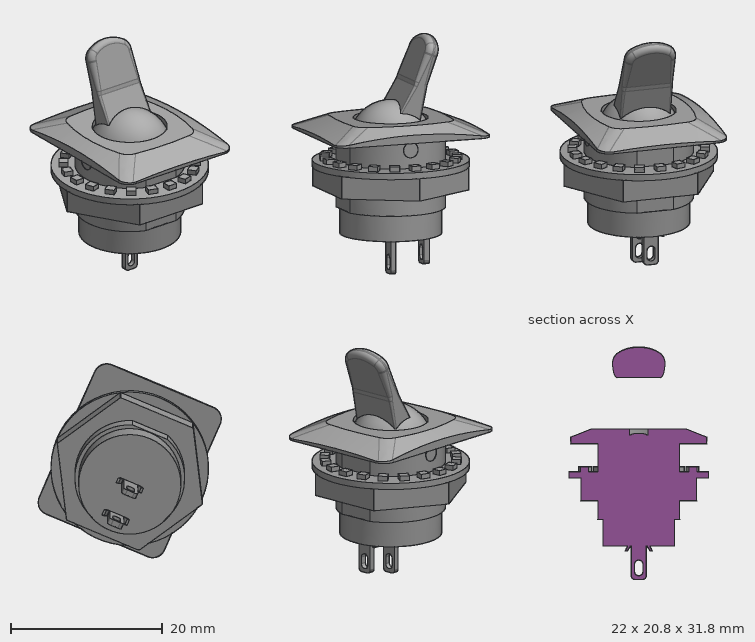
import cadquery as cq
import math

bezel_length = 22.0
bezel_width = 18.0
bezel_height = 2.0
bezel_slope = 22.0
bezel_top_half_length = 7.34
bezel_top_half_width = 6.85
bezel_corner_height = 0.12
bezel_corner_radius = 1.7
bezel_ridge_radius = 5.2
bezel_hole_diameter = 9.9

ball_diameter = 11.0
ball_top = 4.3

body_diameter = 14.5
body_across_flats = 13.6
body_bottom = -10.0
base_diameter = 13.5
base_bottom = -13.5
pivot_diameter = 2.05
pivot_height = -1.2
pivot_reach = 7.27

washer_diameter = 20.8
washer_top = -3.65
washer_bottom = -4.5
tooth_count = 20
tooth_width = 1.28
tooth_top = -3.0
tooth_inner_radius = 8.15
tooth_outer_radius = 9.35
nut_sides = 6
nut_across_flats = 18.06
nut_corner_diameter = 20.8
nut_bottom = -7.5

lever_width = 7.0
tip_tilt = 22.0
tip_base_x = -4.54
tip_base_z = 10.5
tip_thickness = 1.8
tip_length = 2.4
tip_crown_radius = 5.0
tip_corner_radius = 1.75
tip_edge_radius = 0.8
bend_start_left_z = 6.58
bend_start_right_z = 7.17
bend_start_radius = 0.44
bend_end_section = ((-3.78, 6.00), (-2.07, 6.63), 0.33)
root_section = ((-2.65, 1.00), (0.30, 2.60), 0.15)

terminal_width = 2.0
terminal_slot_width = 1.1
terminal_slot_length = 2.03
terminal_slot_margin = 0.53
terminal_corner_radius = 0.5
short_terminal_x = -4.72
short_terminal_thickness = 0.8
short_terminal_bottom = -17.9
long_terminal_x = 0.0
long_terminal_thickness = 0.7
long_terminal_bottom = -18.95
tang_top_inner = 1.08
tang_top_outer = 1.50
tang_tip_inner = 1.50
tang_tip_outer = 1.80
tang_drop = 0.65


def cylinder(diameter, bottom, top):
    return cq.Workplane("XY").workplane(offset=bottom).circle(diameter / 2).extrude(top - bottom)


def bezel_side(top_distance, outer_distance, outer_half_span):
    """Cone bounding the bezel toward +X, reaching the common corner height at the outer corner."""
    run_per_height = 1 / math.tan(math.radians(bezel_slope))
    corner_run = (bezel_height - bezel_corner_height) * run_per_height
    side_run = outer_distance - top_distance
    top_radius = (outer_half_span**2 + side_run**2 - corner_run**2) / (2 * (corner_run - side_run))
    bottom_radius = top_radius + bezel_height * run_per_height
    axis_point = cq.Vector(top_distance - top_radius, 0, 0)
    return cq.Workplane(cq.Solid.makeCone(bottom_radius, top_radius, bezel_height, axis_point))


def make_bezel():
    half_length = bezel_length / 2
    half_width = bezel_width / 2
    end_side = bezel_side(bezel_top_half_length, half_length, half_width)
    long_side = bezel_side(bezel_top_half_width, half_width, half_length)
    origin = (0, 0, 0)
    up = (0, 0, 1)
    pyramid = end_side.intersect(end_side.rotate(origin, up, 180))
    for turn in (90, 270):
        pyramid = pyramid.intersect(long_side.rotate(origin, up, turn))
    pyramid = pyramid.edges("%HYPERBOLA").fillet(bezel_ridge_radius)
    rim = (
        cq.Workplane("XY")
        .rect(bezel_length, bezel_width)
        .extrude(bezel_height)
        .edges("|Z")
        .fillet(bezel_corner_radius)
    )
    bezel = pyramid.intersect(rim)
    return bezel.cut(cylinder(bezel_hole_diameter, 0, bezel_height))


def make_ball():
    radius = ball_diameter / 2
    return cq.Workplane("XY").sphere(radius).translate((0, 0, ball_top - radius))


def make_body():
    flats = (
        cq.Workplane("XY", origin=(0, 0, body_bottom))
        .rect(body_across_flats, body_diameter)
        .extrude(-body_bottom)
    )
    barrel = cylinder(body_diameter, body_bottom, 0).intersect(flats)
    pivot = (
        cq.Workplane("XZ", origin=(0, 0, pivot_height))
        .circle(pivot_diameter / 2)
        .extrude(pivot_reach, both=True)
    )
    return barrel.union(pivot).union(cylinder(base_diameter, base_bottom, body_bottom))


def make_washer():
    washer = cylinder(washer_diameter, washer_bottom, washer_top)
    tooth_length = tooth_outer_radius - tooth_inner_radius
    tooth = (
        cq.Workplane("XY", origin=(tooth_inner_radius + tooth_length / 2, 0, washer_bottom))
        .rect(tooth_length, tooth_width)
        .extrude(tooth_top - washer_bottom)
    )
    for index in range(tooth_count):
        washer = washer.union(tooth.rotate((0, 0, 0), (0, 0, 1), index * 360 / tooth_count))
    return washer


def make_nut():
    half_side_angle = 180 / nut_sides
    corner_to_corner = nut_across_flats / math.cos(math.radians(half_side_angle))
    hexagon = (
        cq.Workplane("XY", origin=(0, 0, nut_bottom))
        .polygon(nut_sides, corner_to_corner)
        .extrude(washer_bottom - nut_bottom)
        .rotate((0, 0, 0), (0, 0, 1), half_side_angle)
    )
    return hexagon.intersect(cylinder(nut_corner_diameter, nut_bottom, washer_bottom))


def lever_section(left, right, radius):
    """Rounded rectangle spanning the lever width between two points of the XZ side profile."""
    half = lever_width / 2
    corners = [
        cq.Vector(left[0], -half, left[1]),
        cq.Vector(right[0], -half, right[1]),
        cq.Vector(right[0], half, right[1]),
        cq.Vector(left[0], half, left[1]),
    ]
    outline = cq.Wire.makePolygon(corners, close=True)
    return outline.fillet2D(radius, outline.Vertices())


def make_lever():
    half_width = lever_width / 2
    tilt = math.radians(tip_tilt)
    across_x = tip_thickness / 2 * math.cos(tilt)
    across_z = tip_thickness / 2 * math.sin(tilt)
    left_x, left_z = tip_base_x - across_x, tip_base_z - across_z
    right_x, right_z = tip_base_x + across_x, tip_base_z + across_z
    bend_left_x = left_x + (left_z - bend_start_left_z) * math.tan(tilt)
    bend_right_x = right_x + (right_z - bend_start_right_z) * math.tan(tilt)
    sections = [
        ((left_x, left_z), (right_x, right_z), tip_edge_radius),
        ((bend_left_x, bend_start_left_z), (bend_right_x, bend_start_right_z), bend_start_radius),
        bend_end_section,
        root_section,
    ]
    blade = cq.Solid.makeLoft([lever_section(*section) for section in sections], True)

    shoulder = tip_length - tip_crown_radius + math.sqrt(tip_crown_radius**2 - half_width**2)
    tip = (
        cq.Workplane("YZ")
        .moveTo(-half_width, 0)
        .lineTo(half_width, 0)
        .lineTo(half_width, shoulder)
        .threePointArc((0, tip_length), (-half_width, shoulder))
        .close()
        .extrude(tip_thickness / 2, both=True)
    )
    tip = tip.edges("|X and (not <Z)").fillet(tip_corner_radius)
    tip = tip.faces("<X or >X").edges("not <Z").fillet(tip_edge_radius)
    tip = tip.rotate((0, 0, 0), (0, 1, 0), -tip_tilt).translate((tip_base_x, 0, tip_base_z))
    return tip.union(cq.Workplane(blade))


def make_terminal(x, thickness, bottom):
    blade = (
        cq.Workplane("YZ", origin=(x, 0, (base_bottom + bottom) / 2))
        .rect(terminal_width, base_bottom - bottom)
        .extrude(thickness / 2, both=True)
        .edges("|X and <Z")
        .fillet(terminal_corner_radius)
    )
    slot_height = bottom + terminal_slot_margin + terminal_slot_length / 2
    slot = (
        cq.Workplane("YZ", origin=(x, 0, slot_height))
        .slot2D(terminal_slot_length, terminal_slot_width, 90)
        .extrude(thickness, both=True)
    )
    tang_profile = [
        (tang_top_inner, base_bottom),
        (tang_top_outer, base_bottom),
        (tang_tip_outer, base_bottom - tang_drop),
        (tang_tip_inner, base_bottom - tang_drop),
    ]
    tang = (
        cq.Workplane("YZ", origin=(x, 0, 0))
        .polyline(tang_profile)
        .close()
        .extrude(thickness / 2, both=True)
    )
    return blade.cut(slot).union(tang).union(tang.mirror("XZ"))


result = (
    make_body()
    .union(make_bezel())
    .union(make_ball())
    .union(make_washer())
    .union(make_nut())
    .union(make_lever())
    .union(make_terminal(short_terminal_x, short_terminal_thickness, short_terminal_bottom))
    .union(make_terminal(long_terminal_x, long_terminal_thickness, long_terminal_bottom))
)